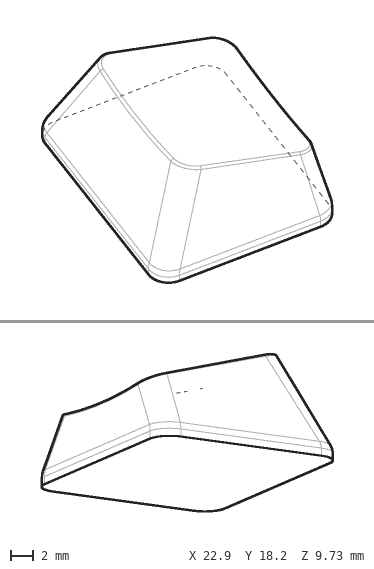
import cadquery as cq
import math

base_length = 22.92
base_width = 18.15
base_corner_radius = 2.0
skirt_height = 0.69

band_top_height = 1.3
band_side_inset = 0.11
band_front_inset = 0.14
band_back_inset = 0.02

top_length = 16.6
top_depth = 14.2
top_corner_radius = 1.97
top_tilt = 16.2
top_center_y = 1.8
top_center_z = 7.98

dish_sag = 0.55
dish_radius = ((top_length / 2) ** 2 + dish_sag ** 2) / (2 * dish_sag)
rim_radius = 0.28
cutter_reach = base_width

top_plane = cq.Plane(
    origin=(0, top_center_y, top_center_z),
    xDir=(1, 0, 0),
    normal=(0, math.sin(math.radians(top_tilt)), math.cos(math.radians(top_tilt))),
)


def rounded_outline(plane, length, depth, radius):
    """Return a centred rounded rectangle as a wire on the given plane."""
    sketch = cq.Sketch().rect(length, depth).vertices().fillet(radius)
    return cq.Workplane(plane).placeSketch(sketch)._getFaces()[0].outerWire()


def band_outline(fraction):
    """Return the band outline at a fraction of its height; the inset grows as a parabola."""
    height = skirt_height + fraction * (band_top_height - skirt_height)
    growth = fraction ** 2
    length = base_length - 2 * band_side_inset * growth
    width = base_width - (band_front_inset + band_back_inset) * growth
    center_y = (band_front_inset - band_back_inset) * growth / 2
    plane = cq.Plane(origin=(0, center_y, height))
    return rounded_outline(plane, length, width, base_corner_radius)


def make_walls():
    """Upright skirt, curved band and ruled walls leaning in to the tilted top."""
    skirt = (
        cq.Workplane("XY")
        .rect(base_length, base_width)
        .extrude(skirt_height)
        .edges("|Z")
        .fillet(base_corner_radius)
    )
    band = cq.Solid.makeLoft([band_outline(0), band_outline(0.5), band_outline(1)])
    top_outline = rounded_outline(top_plane, top_length, top_depth, top_corner_radius)
    walls = cq.Solid.makeLoft([band_outline(1), top_outline], True)
    return skirt.union(cq.Workplane(band)).union(cq.Workplane(walls))


def make_dish_cutter():
    """Cylinder along the slope that hollows the top between its side edges."""
    return (
        cq.Workplane(top_plane)
        .transformed(rotate=(90, 0, 0))
        .center(0, dish_radius - dish_sag)
        .circle(dish_radius)
        .extrude(cutter_reach, both=True)
    )


dished = make_walls().cut(make_dish_cutter())
result = dished.faces(">Z").edges().fillet(rim_radius)